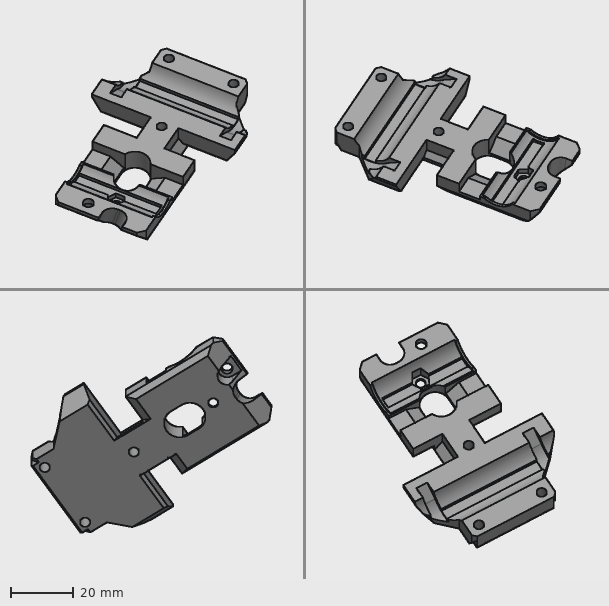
import cadquery as cq
import math

THICKNESS = 8.0
LENGTH = 74.5
WIDTH = 52.0
MARGIN = 0.75

PLATE_HALF_WIDTH = 16.5
PLATE_REAR = 36.1
PLATE_CORNER = 2.2
NOSE_HEIGHT = 6.3
NOSE_SETBACK = 5.3
SIDE_BEVEL_WIDTH = 1.6
SIDE_BEVEL_HEIGHT = 2.75
REAR_BEVEL_LENGTH = 3.05

NECK_LEFT = -4.55
NECK_RIGHT = 5.5
FOOT_LEFT = -6.5
FOOT_RIGHT = 8.5
FOOT_SLOPE_TOP = 3.0
FOOT_LEFT_HEIGHT = 1.2

WING_FRONT = 46.0
WING_BEVEL = 1.2
WING_SIDE_ANGLE = 60.0
WING_BASE_LEFT = -22.0
WING_BASE_RIGHT = 22.35
BLOCK_LEFT = -14.9
BLOCK_RIGHT = 16.5
BLOCK_CORNER = 1.35
BLOCK_BOTTOM_CHAMFER = 0.6
REAR_WEDGE_HEIGHT = 5.0
REAR_WEDGE_ANGLE = 60.0
REAR_WEDGE_LENGTH = REAR_WEDGE_HEIGHT / math.tan(math.radians(REAR_WEDGE_ANGLE))
DIAGONAL_LEFT_Y = 65.05
DIAGONAL_RIGHT_Y = 65.25

SEAT_RADIUS = 7.75
SEAT_AXIS_Z = 11.6
FRONT_SEAT_Y = 15.05
REAR_SEAT_Y = 60.05
LIP_RADIUS = 7.15
FRONT_SEAT_LEFT = -15.6
FRONT_SEAT_RIGHT = 15.5
CHANNEL_WIDTH = 4.0
CHANNEL_FLOOR = 2.9
FRONT_CHANNEL_RIGHT = 14.45

TIE_WIDTH = 4.0
TIE_RADIUS = 9.0
TIE_STARTS = (-20.9, 18.9)
TIE_RAMP_ANGLE = 32.0
TIE_RAMP_REACH = 6.0

WINDOW_Y = 24.15
WINDOW_WIDTH = 10.05
WINDOW_LENGTH = 14.0
TROUGH_FRONT = 20.55
TROUGH_REAR = 28.1
TROUGH_FLOOR = 4.1
TROUGH_SLOPE_START = 9.9
TROUGH_SLOPE_END_Z = 1.05
LEDGE_Z = 5.65

SCREW_DIAMETER = 3.3
REAR_SCREWS = [(-10.95, 71.1), (12.5, 71.1)]
NECK_SCREW = (0.4, 44.1)
NUT_SCREW = (0.0, 13.1)
NUT_SCREW_DIAMETER = 3.2
NUT_DIAMETER = 6.2
HEX_SIDES = 6
NUT_FLOOR = 1.0
FRONT_SCREW = (-5.5, 4.1)
FRONT_SCREW_DIAMETER = 3.6
HEAD_DIAMETER = 6.2
HEAD_DEPTH = 5.65

NOTCH_TOP_X = 4.6
NOTCH_LEAN = 15.0
NOTCH_WIDTH = 8.2
NOTCH_RADIUS = 3.65
NOTCH_DEPTH = 6.0


def box(x0, x1, y0, y1, z0, z1):
    return cq.Workplane("XY").box(x1 - x0, y1 - y0, z1 - z0, centered=False).translate((x0, y0, z0))


def prism_along_x(points_yz, x0, x1):
    return cq.Workplane("YZ").polyline(points_yz).close().extrude(x1 - x0).translate((x0, 0, 0))


def prism_along_y(points_xz, y0, y1):
    return cq.Workplane("XZ").polyline(points_xz).close().extrude(y0 - y1).translate((0, y0, 0))


def groove_along_x(y, radius, x0, x1):
    axis = cq.Workplane("YZ").center(y, SEAT_AXIS_Z)
    return axis.circle(radius).extrude(x1 - x0).translate((x0, 0, 0))


def hole(place, diameter, z0=-MARGIN, z1=THICKNESS + MARGIN):
    return cq.Workplane("XY").center(*place).circle(diameter / 2).extrude(z1 - z0).translate((0, 0, z0))


def front_plate():
    plate = box(-PLATE_HALF_WIDTH, PLATE_HALF_WIDTH, 0, PLATE_REAR, 0, THICKNESS)
    plate = plate.edges("|Z and <Y").chamfer(PLATE_CORNER)
    nose = [(0, NOSE_HEIGHT), (NOSE_SETBACK, 0), (0, 0)]
    plate = plate.cut(prism_along_x(nose, -PLATE_HALF_WIDTH, PLATE_HALF_WIDTH))
    rear_bevel = [(PLATE_REAR, SIDE_BEVEL_HEIGHT), (PLATE_REAR - REAR_BEVEL_LENGTH, 0), (PLATE_REAR, 0)]
    plate = plate.cut(prism_along_x(rear_bevel, -PLATE_HALF_WIDTH, FOOT_LEFT))
    plate = plate.cut(prism_along_x(rear_bevel, FOOT_RIGHT, PLATE_HALF_WIDTH))
    for side in (-1, 1):
        outer = side * PLATE_HALF_WIDTH
        bevel = [(outer, SIDE_BEVEL_HEIGHT), (outer - side * SIDE_BEVEL_WIDTH, 0), (outer, 0)]
        plate = plate.cut(prism_along_y(bevel, 0, PLATE_REAR))
    return plate


def neck():
    section = [
        (FOOT_LEFT, 0),
        (FOOT_LEFT, FOOT_LEFT_HEIGHT),
        (NECK_LEFT, FOOT_SLOPE_TOP),
        (NECK_LEFT, THICKNESS),
        (NECK_RIGHT, THICKNESS),
        (NECK_RIGHT, FOOT_SLOPE_TOP),
        (FOOT_RIGHT, 0),
    ]
    return prism_along_y(section, PLATE_REAR, WING_FRONT + WING_BEVEL)


def wings():
    half = WIDTH / 2
    outline = [
        (-half, WING_FRONT),
        (half, WING_FRONT),
        (half, DIAGONAL_RIGHT_Y - (half - BLOCK_RIGHT)),
        (BLOCK_RIGHT, DIAGONAL_RIGHT_Y),
        (BLOCK_LEFT, DIAGONAL_LEFT_Y),
        (-half, DIAGONAL_LEFT_Y - (half + BLOCK_LEFT)),
    ]
    body = cq.Workplane("XY").polyline(outline).close().extrude(THICKNESS)
    body = body.edges("<Y and <Z").chamfer(WING_BEVEL)
    slope = math.tan(math.radians(WING_SIDE_ANGLE))
    for base, outer in ((WING_BASE_LEFT, -half), (WING_BASE_RIGHT, half)):
        side = [(base, 0), (outer, abs(outer - base) * slope), (outer, 0)]
        body = body.cut(prism_along_y(side, WING_FRONT, LENGTH))
    return body


def rear_block():
    block = box(BLOCK_LEFT, BLOCK_RIGHT, REAR_SEAT_Y, LENGTH, 0, THICKNESS)
    block = block.edges("|Z and >Y").chamfer(BLOCK_CORNER)
    block = block.edges(">Y and <Z").chamfer(BLOCK_BOTTOM_CHAMFER)
    wedge = [(LENGTH, REAR_WEDGE_HEIGHT), (LENGTH - REAR_WEDGE_LENGTH, 0), (LENGTH, 0)]
    block = block.cut(prism_along_x(wedge, BLOCK_LEFT, BLOCK_LEFT + BLOCK_CORNER))
    return block.cut(prism_along_x(wedge, BLOCK_RIGHT - BLOCK_CORNER, BLOCK_RIGHT))


def channel(seat_y, x0, x1):
    half = CHANNEL_WIDTH / 2
    return box(x0, x1, seat_y - half, seat_y + half, CHANNEL_FLOOR, SEAT_AXIS_Z)


def front_seat():
    seat = groove_along_x(FRONT_SEAT_Y, SEAT_RADIUS, FRONT_SEAT_LEFT, FRONT_SEAT_RIGHT)
    lips = groove_along_x(FRONT_SEAT_Y, LIP_RADIUS, -PLATE_HALF_WIDTH, PLATE_HALF_WIDTH)
    return seat.union(lips).union(channel(FRONT_SEAT_Y, FRONT_SEAT_LEFT, FRONT_CHANNEL_RIGHT))


def tie_slot(x0):
    x1 = x0 + TIE_WIDTH
    angle = math.radians(TIE_RAMP_ANGLE)
    foot_y = REAR_SEAT_Y - TIE_RAMP_REACH
    foot_z = SEAT_AXIS_Z - math.sqrt(TIE_RADIUS**2 - TIE_RAMP_REACH**2)
    top_y = foot_y - (SEAT_AXIS_Z - foot_z) / math.tan(angle)
    ramp = [(foot_y, foot_z), (top_y, SEAT_AXIS_Z), (REAR_SEAT_Y, SEAT_AXIS_Z)]
    return groove_along_x(REAR_SEAT_Y, TIE_RADIUS, x0, x1).union(prism_along_x(ramp, x0, x1))


def rear_seat():
    seat = groove_along_x(REAR_SEAT_Y, SEAT_RADIUS, -WIDTH / 2, WIDTH / 2)
    seat = seat.union(channel(REAR_SEAT_Y, -WIDTH / 2, WIDTH / 2))
    for start in TIE_STARTS:
        seat = seat.union(tie_slot(start))
    return seat


def window_and_trough():
    window = cq.Workplane("XY").center(0, WINDOW_Y).slot2D(WINDOW_LENGTH, WINDOW_WIDTH, 90).extrude(THICKNESS)
    inner = WINDOW_WIDTH / 2
    section = [
        (-PLATE_HALF_WIDTH, TROUGH_FLOOR),
        (-TROUGH_SLOPE_START, TROUGH_FLOOR),
        (-inner, TROUGH_SLOPE_END_Z),
        (inner, TROUGH_SLOPE_END_Z),
        (TROUGH_SLOPE_START, TROUGH_FLOOR),
        (PLATE_HALF_WIDTH, TROUGH_FLOOR),
        (PLATE_HALF_WIDTH, THICKNESS),
        (-PLATE_HALF_WIDTH, THICKNESS),
    ]
    trough = prism_along_y(section, TROUGH_FRONT, TROUGH_REAR)
    ledge = box(-PLATE_HALF_WIDTH, PLATE_HALF_WIDTH, FRONT_SEAT_Y, TROUGH_FRONT, LEDGE_Z, THICKNESS)
    return window.union(trough).union(ledge)


def screw_holes():
    holes = hole(NECK_SCREW, SCREW_DIAMETER).union(hole(NUT_SCREW, NUT_SCREW_DIAMETER))
    for place in REAR_SCREWS:
        holes = holes.union(hole(place, SCREW_DIAMETER))
    nut = cq.Workplane("XY").center(*NUT_SCREW).polygon(HEX_SIDES, NUT_DIAMETER).extrude(THICKNESS)
    holes = holes.union(nut.translate((0, 0, NUT_FLOOR)))
    holes = holes.union(hole(FRONT_SCREW, FRONT_SCREW_DIAMETER))
    x, y = FRONT_SCREW
    recess = hole(FRONT_SCREW, HEAD_DIAMETER, -MARGIN, HEAD_DEPTH)
    run_out = box(x - HEAD_DIAMETER / 2, x + HEAD_DIAMETER / 2, -MARGIN, y, -MARGIN, HEAD_DEPTH)
    return holes.union(recess).union(run_out)


def leaning_notch():
    lean = math.radians(NOTCH_LEAN)
    plane = cq.Plane(
        origin=(NOTCH_TOP_X, 0, THICKNESS),
        xDir=(math.cos(lean), 0, -math.sin(lean)),
        normal=(math.sin(lean), 0, math.cos(lean)),
    )
    half = NOTCH_WIDTH / 2
    bend_y = NOTCH_DEPTH - NOTCH_RADIUS
    outline = (
        cq.Workplane(plane)
        .moveTo(-half, -MARGIN)
        .lineTo(half, -MARGIN)
        .lineTo(half, bend_y)
        .radiusArc((half - NOTCH_RADIUS, NOTCH_DEPTH), -NOTCH_RADIUS)
        .lineTo(NOTCH_RADIUS - half, NOTCH_DEPTH)
        .radiusArc((-half, bend_y), -NOTCH_RADIUS)
        .close()
    )
    return outline.extrude(2 * THICKNESS, both=True)


body = front_plate().union(neck()).union(wings()).union(rear_block())
body = body.cut(front_seat()).cut(rear_seat()).cut(window_and_trough())
result = body.cut(screw_holes()).cut(leaning_notch())